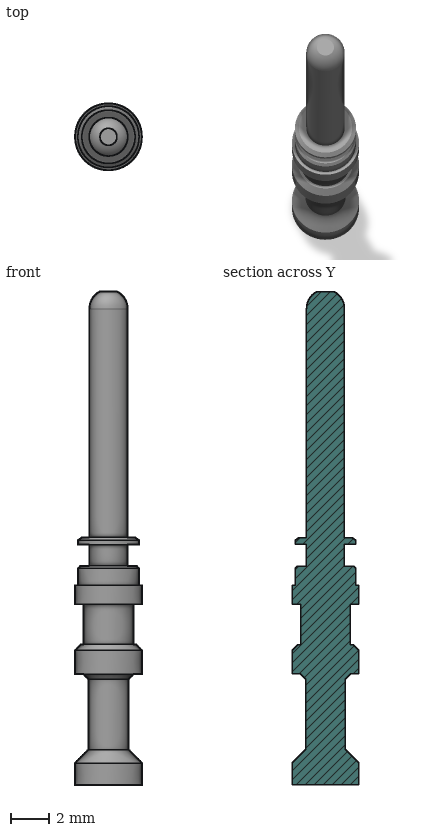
import cadquery as cq
import math

total_height = 25.7

collar_radius = 1.75
shoulder_radius = 1.6
neck_radius = 1.3
barrel_radius = 1.05
pin_radius = 1.0

foot_top = 1.15
lower_collar_bottom = 5.78
lower_collar_top = 7.32
upper_collar_bottom = 9.4
upper_collar_top = 10.4
shoulder_top = 11.4
ring_bottom = 12.52
ring_top = 12.9

collar_chamfer = 0.3
barrel_flare = 0.25
shoulder_chamfer = 0.13
ring_chamfer = 0.2
ring_chamfer_height = 0.15

foot_cone_top = foot_top + collar_radius - barrel_radius

tip_height = 0.9
tip_start = total_height - tip_height
tip_flat_radius = math.sqrt(pin_radius**2 - tip_height**2)
tip_mid_angle = math.asin(tip_height / pin_radius) / 2
tip_mid = (pin_radius * math.cos(tip_mid_angle), tip_start + pin_radius * math.sin(tip_mid_angle))

outline = [
    (0, 0),
    (collar_radius, 0),
    (collar_radius, foot_top),
    (barrel_radius, foot_cone_top),
    (barrel_radius, lower_collar_bottom - barrel_flare),
    (barrel_radius + barrel_flare, lower_collar_bottom),
    (collar_radius, lower_collar_bottom),
    (collar_radius, lower_collar_top - collar_chamfer),
    (collar_radius - collar_chamfer, lower_collar_top),
    (neck_radius, lower_collar_top),
    (neck_radius, upper_collar_bottom),
    (collar_radius, upper_collar_bottom),
    (collar_radius, upper_collar_top),
    (shoulder_radius, upper_collar_top),
    (shoulder_radius, shoulder_top - shoulder_chamfer),
    (shoulder_radius - shoulder_chamfer, shoulder_top),
    (pin_radius, shoulder_top),
    (pin_radius, ring_bottom),
    (shoulder_radius, ring_bottom),
    (shoulder_radius, ring_top - ring_chamfer_height),
    (shoulder_radius - ring_chamfer, ring_top),
    (pin_radius, ring_top),
    (pin_radius, tip_start),
]

half_section = (
    cq.Workplane("XZ")
    .polyline(outline)
    .threePointArc(tip_mid, (tip_flat_radius, total_height))
    .lineTo(0, total_height)
    .close()
)

result = half_section.revolve(360, (0, 0, 0), (0, 1, 0))